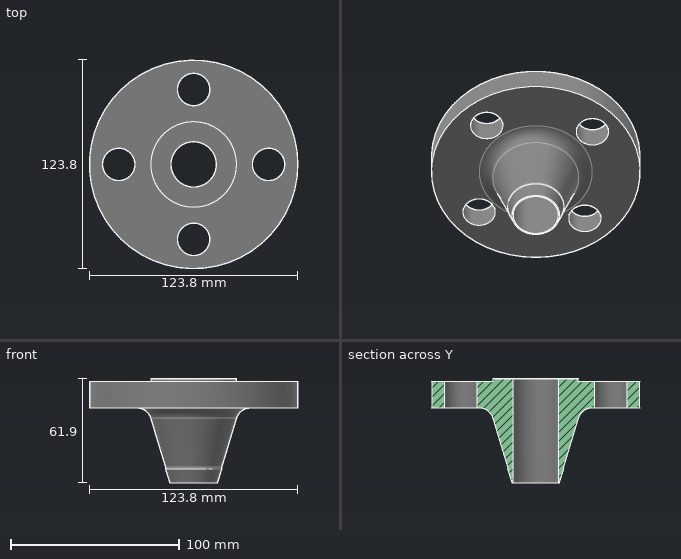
import cadquery as cq
import math

flange_diameter = 123.8
flange_thickness = 15.9
face_diameter = 50.8
face_height = 1.6
overall_height = 61.9

bore_diameter = 26.7
bolt_hole_diameter = 19.1
bolt_circle_diameter = 88.9
bolt_count = 4

neck_tip_radius = 14.1
neck_end_radius = 16.7
bevel_height = 8.3
straight_length = 1.1
neck_root_radius = 25.5
fillet_height = 6.0

flange_top = overall_height - face_height
flange_bottom = flange_top - flange_thickness
root_z = flange_bottom - fillet_height
taper_start_z = bevel_height + straight_length

taper_angle = math.atan2(neck_root_radius - neck_end_radius, root_z - taper_start_z)
fillet_radius = fillet_height / (1 - math.sin(taper_angle))
fillet_center_x = neck_root_radius + fillet_radius * math.cos(taper_angle)
fillet_center_z = flange_bottom - fillet_radius
middle_angle = (math.pi / 2 + math.pi - taper_angle) / 2
fillet_middle = (
    fillet_center_x + fillet_radius * math.cos(middle_angle),
    fillet_center_z + fillet_radius * math.sin(middle_angle),
)


def revolved_body():
    """Raised face, flange and neck with the bore, revolved about Z."""
    return (
        cq.Workplane("XZ")
        .moveTo(bore_diameter / 2, 0)
        .lineTo(neck_tip_radius, 0)
        .lineTo(neck_end_radius, bevel_height)
        .lineTo(neck_end_radius, taper_start_z)
        .lineTo(neck_root_radius, root_z)
        .threePointArc(fillet_middle, (fillet_center_x, flange_bottom))
        .lineTo(flange_diameter / 2, flange_bottom)
        .lineTo(flange_diameter / 2, flange_top)
        .lineTo(face_diameter / 2, flange_top)
        .lineTo(face_diameter / 2, overall_height)
        .lineTo(bore_diameter / 2, overall_height)
        .close()
        .revolve(360, (0, 0, 0), (0, 1, 0))
    )


def bolt_holes():
    """Cylinders that cut the bolt holes through the flange."""
    return (
        cq.Workplane("XY", origin=(0, 0, flange_bottom))
        .polarArray(bolt_circle_diameter / 2, 0, 360, bolt_count)
        .circle(bolt_hole_diameter / 2)
        .extrude(flange_thickness)
    )


result = revolved_body().cut(bolt_holes())